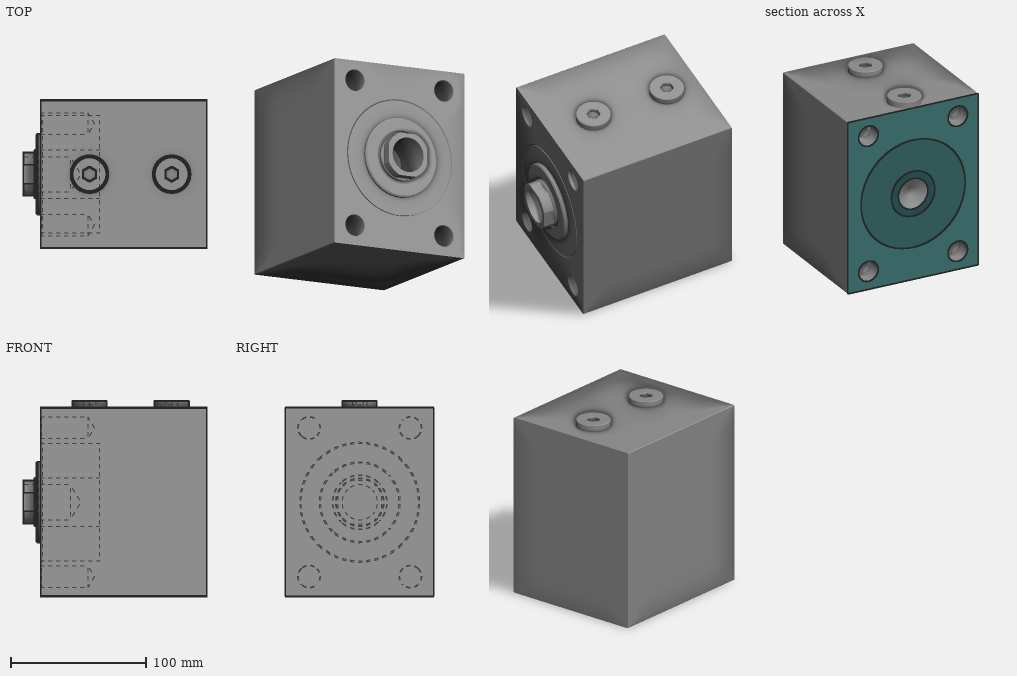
import cadquery as cq
import math

BLOCK_LENGTH = 123.0
BLOCK_WIDTH = 110.0
BLOCK_HEIGHT = 140.0
BLOCK_EDGE_CHAMFER = 0.5
AXIS_Z = BLOCK_HEIGHT / 2
DRILL_POINT_ANGLE = 118

BOLT_HOLE_DIAMETER = 16
BOLT_HOLE_DEPTH = 34.8
BOLT_HOLE_CHAMFER = 0.5
BOLT_SPACING_Y = 75.0
BOLT_SPACING_Z = 110.0

GLAND_DIAMETER = 87
GLAND_DEPTH = 43.5
GLAND_SEAT_CHAMFER = 1.0
COLLAR_DIAMETER = 60.0
COLLAR_HEIGHT = 3.2
COLLAR_CHAMFER = 1.0
WIPER_RECESS_DIAMETER = 39.7
WIPER_RECESS_DEPTH = 1.5
WIPER_RECESS_CHAMFER = 0.5

ROD_DIAMETER = 36.0
ROD_CHAMFER = 0.7
ROD_PROTRUSION = 13
SHOULDER_PROTRUSION = 4.9
WRENCH_DIAMETER = 35.0
WRENCH_FLATS = 32.2
WRENCH_CHAMFER = 0.5
ROD_BORE_DIAMETER = 26.1
ROD_BORE_DEPTH = 34.8

PLUG_DIAMETER = 25.8
PLUG_PROTRUSION = 4.9
PLUG_TOP_CHAMFER = 0.5
FIRST_PLUG_X = 36.1
PLUG_SPACING = 60.9
PLUG_X = (FIRST_PLUG_X, FIRST_PLUG_X + PLUG_SPACING)
HEX_FLATS = 9.0
HEX_MOUTH_CHAMFER = 0.5
HEX_DEPTH = 3.0
SPOTFACE_DIAMETER = 28.0
SPOTFACE_DEPTH = 0.1


def cylinder_x(diameter, start, end):
    """Cylinder on the rod axis between two X positions."""
    return (
        cq.Workplane("YZ", origin=(start, 0, AXIS_Z))
        .circle(diameter / 2)
        .extrude(end - start)
    )


def drilled_hole(diameter, depth, start, y, z):
    """Hole along +X with a full diameter depth and a conical drill point."""
    radius = diameter / 2
    point = radius / math.tan(math.radians(DRILL_POINT_ANGLE / 2))
    return (
        cq.Workplane("XY", origin=(start, y, z))
        .polyline([(0, 0), (0, radius), (depth, radius), (depth + point, 0)])
        .close()
        .revolve(360, (0, 0, 0), (1, 0, 0))
    )


def mouth_chamfer(diameter, size, start, y, z):
    """Cone that breaks the edge of a hole in a face at X = start."""
    radius = diameter / 2
    return (
        cq.Workplane("XY", origin=(start, y, z))
        .polyline([(0, 0), (0, radius + size), (size, radius), (size, 0)])
        .close()
        .revolve(360, (0, 0, 0), (1, 0, 0))
    )


def make_block():
    block = (
        cq.Workplane("XY")
        .box(BLOCK_LENGTH, BLOCK_WIDTH, BLOCK_HEIGHT, centered=(False, True, False))
        .edges("|X")
        .chamfer(BLOCK_EDGE_CHAMFER)
    )
    block = block.cut(cylinder_x(GLAND_DIAMETER, 0, GLAND_DEPTH))
    block = block.cut(mouth_chamfer(GLAND_DIAMETER, GLAND_SEAT_CHAMFER, 0, 0, AXIS_Z))
    for side_y in (-1, 1):
        for side_z in (-1, 1):
            y = side_y * BOLT_SPACING_Y / 2
            z = AXIS_Z + side_z * BOLT_SPACING_Z / 2
            block = block.cut(drilled_hole(BOLT_HOLE_DIAMETER, BOLT_HOLE_DEPTH, 0, y, z))
            block = block.cut(mouth_chamfer(BOLT_HOLE_DIAMETER, BOLT_HOLE_CHAMFER, 0, y, z))
    spotfaces = (
        cq.Workplane("XY", origin=(0, 0, BLOCK_HEIGHT))
        .pushPoints([(x, 0) for x in PLUG_X])
        .circle(SPOTFACE_DIAMETER / 2)
        .extrude(-SPOTFACE_DEPTH)
    )
    return block.cut(spotfaces)


def make_gland():
    collar = cylinder_x(COLLAR_DIAMETER, -COLLAR_HEIGHT, 0).faces("<X").chamfer(COLLAR_CHAMFER)
    gland = cylinder_x(GLAND_DIAMETER, 0, GLAND_DEPTH).union(collar)
    gland = gland.cut(cylinder_x(ROD_DIAMETER, -COLLAR_HEIGHT, GLAND_DEPTH))
    recess = cylinder_x(WIPER_RECESS_DIAMETER, -COLLAR_HEIGHT, WIPER_RECESS_DEPTH - COLLAR_HEIGHT)
    gland = gland.cut(recess)
    return gland.cut(
        mouth_chamfer(WIPER_RECESS_DIAMETER, WIPER_RECESS_CHAMFER, -COLLAR_HEIGHT, 0, AXIS_Z)
    )


def make_rod():
    shaft = cylinder_x(ROD_DIAMETER, -SHOULDER_PROTRUSION, GLAND_DEPTH).faces("<X").chamfer(ROD_CHAMFER)
    head_length = ROD_PROTRUSION - SHOULDER_PROTRUSION
    square = cq.Workplane("XY", origin=(-ROD_PROTRUSION, 0, AXIS_Z)).box(
        head_length, WRENCH_FLATS, WRENCH_FLATS, centered=(False, True, True)
    )
    head = (
        cylinder_x(WRENCH_DIAMETER, -ROD_PROTRUSION, -SHOULDER_PROTRUSION)
        .faces("<X")
        .chamfer(WRENCH_CHAMFER)
        .intersect(square)
    )
    bore = drilled_hole(ROD_BORE_DIAMETER, ROD_BORE_DEPTH, -ROD_PROTRUSION, 0, AXIS_Z)
    return shaft.union(head).cut(bore)


def make_plug(x):
    height = SPOTFACE_DEPTH + PLUG_PROTRUSION
    plug = (
        cq.Workplane("XY", origin=(x, 0, BLOCK_HEIGHT - SPOTFACE_DEPTH))
        .circle(PLUG_DIAMETER / 2)
        .extrude(height)
        .faces(">Z")
        .chamfer(PLUG_TOP_CHAMFER)
    )
    hex_socket = (
        cq.Workplane("XY", origin=(x, 0, BLOCK_HEIGHT + PLUG_PROTRUSION))
        .polygon(6, HEX_FLATS, circumscribed=True)
        .extrude(-HEX_DEPTH)
    )
    plug = plug.cut(hex_socket)
    return plug.faces(">Z").edges("not %CIRCLE").chamfer(HEX_MOUTH_CHAMFER)


block = make_block()
gland = make_gland()
rod = make_rod()
plugs = [make_plug(x) for x in PLUG_X]
result = cq.Compound.makeCompound([block.val(), gland.val(), rod.val(), *[plug.val() for plug in plugs]])